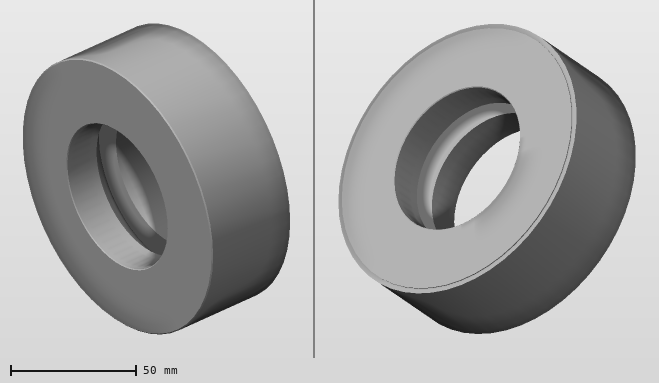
import cadquery as cq

outer_diameter = 117.5
overall_depth = 41.2
bore_diameter = 61.9
plate_diameter = 113.4

front_wall = 15.5
gap = 10.2
plate_projection = 0.5
edge_chamfer = 0.5
bore_chamfer = 0.4

ring_section_radius = gap / 2
ring_center_radius = 43.6
cavity_diameter = 2 * (ring_center_radius + ring_section_radius)

front_y = -overall_depth / 2
plate_y = front_y + front_wall + gap
plate_thickness = overall_depth - front_wall - gap
housing_depth = overall_depth - plate_projection


def disc(diameter, start_y, depth):
    """Solid cylinder along +Y, starting at start_y."""
    plane = cq.Workplane("XZ", origin=(0, start_y, 0))
    return plane.circle(diameter / 2).extrude(-depth)


def make_housing():
    """Cup with a bored front wall, a ring cavity and a rear recess for the plate."""
    body = disc(outer_diameter, front_y, housing_depth).faces("<Y").chamfer(edge_chamfer)
    body = body.cut(disc(bore_diameter, front_y, housing_depth))
    body = body.faces("<Y").edges("%CIRCLE").edges(cq.selectors.RadiusNthSelector(0)).chamfer(bore_chamfer)
    body = body.cut(disc(cavity_diameter, front_y + front_wall, gap))
    return body.cut(disc(plate_diameter, plate_y, plate_thickness))


def make_rear_plate():
    """Bored plate seated in the housing, standing slightly proud of its rear face."""
    plate = disc(plate_diameter, plate_y, plate_thickness)
    plate = plate.cut(disc(bore_diameter, plate_y, plate_thickness))
    return plate.faces(">Y").edges(cq.selectors.RadiusNthSelector(0)).chamfer(bore_chamfer)


def make_ring():
    """Round-section ring held between the front wall and the rear plate."""
    ring_y = front_y + front_wall + gap / 2
    section = cq.Workplane("XY").center(ring_center_radius, ring_y).circle(ring_section_radius)
    return section.revolve(360, (-ring_center_radius, 0), (-ring_center_radius, 1))


housing = make_housing()
rear_plate = make_rear_plate()
ring = make_ring()

result = cq.Compound.makeCompound([housing.val(), rear_plate.val(), ring.val()])